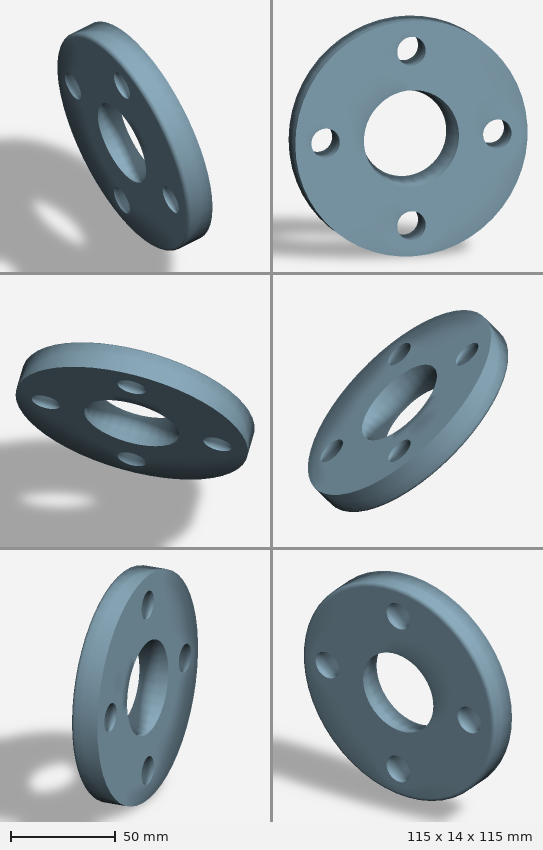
import cadquery as cq

disc_diameter = 115.0
thickness = 14.0
front_bore_diameter = 42.0
back_bore_diameter = 47.0
bolt_circle_diameter = 85.0
bolt_hole_diameter = 14.0
bolt_hole_count = 4
front_edge_radius = 2.0

back_plane = cq.Workplane("XZ", origin=(0, thickness / 2, 0))
disc = back_plane.circle(disc_diameter / 2).extrude(thickness)

disc = disc.faces("<Y").edges().fillet(front_edge_radius)

tapered_bore = (
    back_plane.circle(back_bore_diameter / 2)
    .workplane(offset=thickness)
    .circle(front_bore_diameter / 2)
    .loft(ruled=True)
)
disc = disc.cut(tapered_bore)

bolt_holes = (
    back_plane.polarArray(bolt_circle_diameter / 2, 0, 360, bolt_hole_count)
    .circle(bolt_hole_diameter / 2)
    .extrude(thickness)
)
result = disc.cut(bolt_holes)